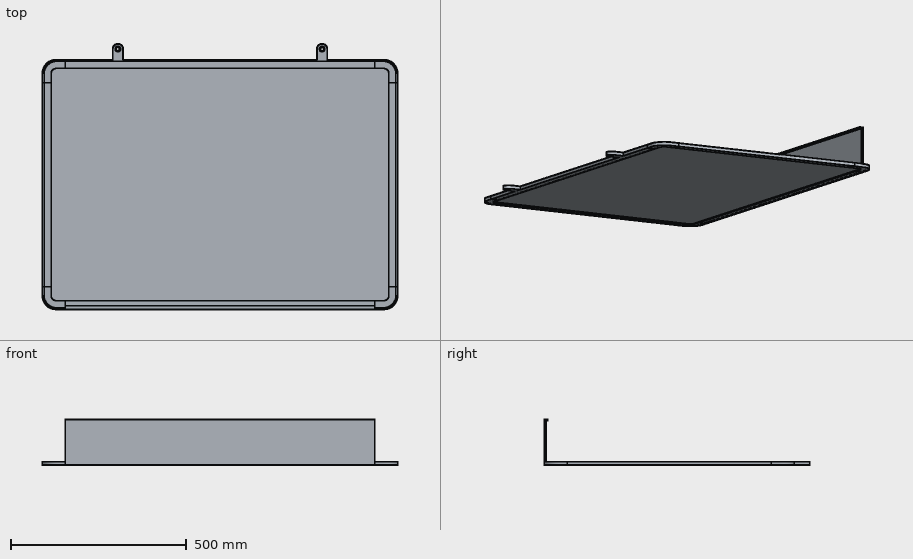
import cadquery as cq

frame_length = 1010.0
frame_width = 710.0
frame_thickness = 10.0
rail_width = 25.0
corner_radius = 40.0
corner_leg = 25.0

panel_thickness = 5.0
groove_depth = 20.0

total_height = 130.0
fence_thickness = 6.0
lip_overhang = 5.0
lip_thickness = 4.0

tab_reach = 45.0
tab_width = 30.0
tab_spacing = 580.0
tab_hole_diameter = 10.0
countersink_diameter = 15.0
countersink_angle = 90.0

half_length = frame_length / 2
half_width = frame_width / 2
corner_size = corner_radius + corner_leg
opening_length = frame_length - 2 * rail_width
opening_width = frame_width - 2 * rail_width
opening_corner_radius = corner_radius - rail_width
panel_length = opening_length + 2 * groove_depth
panel_width = opening_width + 2 * groove_depth
panel_corner_radius = opening_corner_radius + groove_depth
panel_base = (frame_thickness - panel_thickness) / 2
long_rail_length = frame_length - 2 * corner_size
side_rail_length = frame_width - 2 * corner_size
rail_offset_x = half_length - rail_width / 2
rail_offset_y = half_width - rail_width / 2


def block(length, width, height, x, y):
    """Block standing on Z = 0 and centred on (x, y)."""
    return cq.Workplane("XY").box(length, width, height, centered=(True, True, False)).translate((x, y, 0))


def rounded_plate(length, width, thickness, radius):
    """Plate on Z = 0, centred on X and Y, with rounded upright corners."""
    return block(length, width, thickness, 0, 0).edges("|Z").fillet(radius)


def make_panel():
    """Flat board centred in the frame thickness, its rim filling the frame groove."""
    board = rounded_plate(panel_length, panel_width, panel_thickness, panel_corner_radius)
    return board.translate((0, 0, panel_base))


def make_corner(x_side, y_side):
    """Curved frame corner with a short straight leg towards each rail."""
    outline = rounded_plate(frame_length, frame_width, frame_thickness, corner_radius)
    opening = rounded_plate(opening_length, opening_width, frame_thickness, opening_corner_radius)
    ring = outline.cut(opening)
    corner_zone = block(
        corner_size,
        corner_size,
        frame_thickness,
        x_side * (half_length - corner_size / 2),
        y_side * (half_width - corner_size / 2),
    )
    return ring.intersect(corner_zone).cut(panel)


def make_side_rail(x_side):
    """Straight rail between the corners of one short side."""
    rail = block(rail_width, side_rail_length, frame_thickness, x_side * rail_offset_x, 0)
    return rail.cut(panel)


def make_back_rail():
    """Straight back rail with two round-ended hanging tabs, countersunk for screws."""
    rail = block(long_rail_length, rail_width, frame_thickness, 0, rail_offset_y)
    tab_eye_y = half_width + tab_reach - tab_width / 2
    tab_straight = tab_eye_y - half_width
    for x in (-tab_spacing / 2, tab_spacing / 2):
        shank = block(tab_width, tab_straight, frame_thickness, x, half_width + tab_straight / 2)
        eye = cq.Workplane("XY").center(x, tab_eye_y).circle(tab_width / 2).extrude(frame_thickness)
        rail = rail.union(shank).union(eye)
        rail = (
            rail.faces(">Z")
            .workplane(origin=(x, tab_eye_y, frame_thickness))
            .cskHole(tab_hole_diameter, countersink_diameter, countersink_angle)
        )
    return rail.cut(panel)


def make_front_rail():
    """Front rail with an upright fence whose top edge turns inwards as a lip."""
    front_y = -half_width
    lip_y = front_y + fence_thickness + lip_overhang
    profile = [
        (front_y, 0),
        (front_y + rail_width, 0),
        (front_y + rail_width, frame_thickness),
        (front_y + fence_thickness, frame_thickness),
        (front_y + fence_thickness, total_height - lip_thickness),
        (lip_y, total_height - lip_thickness),
        (lip_y, total_height),
        (front_y, total_height),
    ]
    rail = cq.Workplane("YZ").polyline(profile).close().extrude(long_rail_length / 2, both=True)
    return rail.cut(panel)


panel = make_panel()
corners = [make_corner(x_side, y_side) for x_side in (-1, 1) for y_side in (-1, 1)]
side_rails = [make_side_rail(x_side) for x_side in (-1, 1)]
back_rail = make_back_rail()
front_rail = make_front_rail()

result = cq.Compound.makeCompound([
    panel.val(),
    *[corner.val() for corner in corners],
    *[rail.val() for rail in side_rails],
    back_rail.val(),
    front_rail.val(),
])